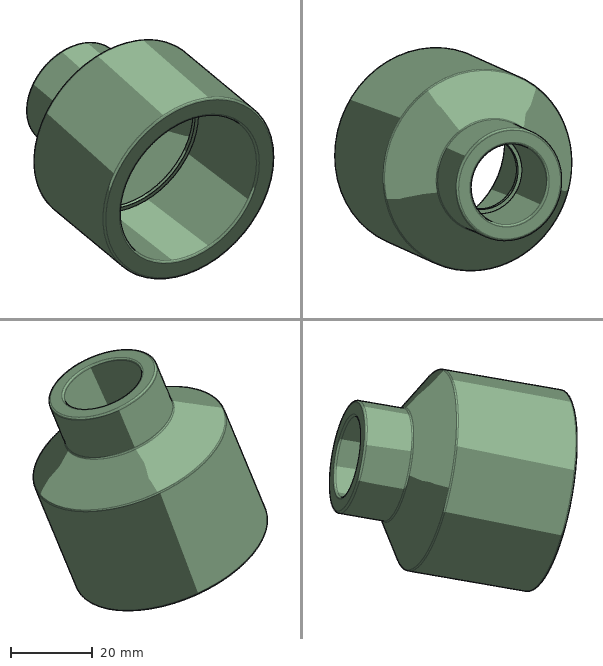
import cadquery as cq

length = 51.0
small_outer_radius = 28.0 / 2
large_outer_radius = 50.0 / 2
neck_length = 12.25
cone_end = 20.0
edge_radius = 0.5

small_socket_radius = 20.0 / 2
small_land_radius = 18.0 / 2
large_socket_radius = 40.0 / 2
large_land_radius = 38.0 / 2
small_socket_depth = 16.0
large_socket_depth = 26.0
land_length = 1.0
large_stop = length - large_socket_depth


def outer_body():
    """Neck, cone and large barrel with every outer edge rounded."""
    profile = [
        (0, 0),
        (0, small_outer_radius),
        (neck_length, small_outer_radius),
        (cone_end, large_outer_radius),
        (length, large_outer_radius),
        (length, 0),
    ]
    body = cq.Workplane("XY").polyline(profile).close().revolve(360, (0, 0, 0), (1, 0, 0))
    return body.edges("%CIRCLE").fillet(edge_radius)


def bore():
    """Stepped through passage from the small socket to the large socket."""
    profile = [
        (0, 0),
        (0, small_socket_radius),
        (small_socket_depth, small_socket_radius),
        (small_socket_depth, small_land_radius),
        (small_socket_depth + land_length, small_land_radius),
        (large_stop - land_length, large_land_radius),
        (large_stop, large_land_radius),
        (large_stop, large_socket_radius),
        (length, large_socket_radius),
        (length, 0),
    ]
    return cq.Workplane("XY").polyline(profile).close().revolve(360, (0, 0, 0), (1, 0, 0))


def round_socket_mouths(body):
    """Round the inner rim of the socket at each end face."""
    for end_face in ("<X", ">X"):
        body = body.faces(end_face).wires().edges(cq.selectors.RadiusNthSelector(0)).fillet(edge_radius)
    return body


result = round_socket_mouths(outer_body().cut(bore()))